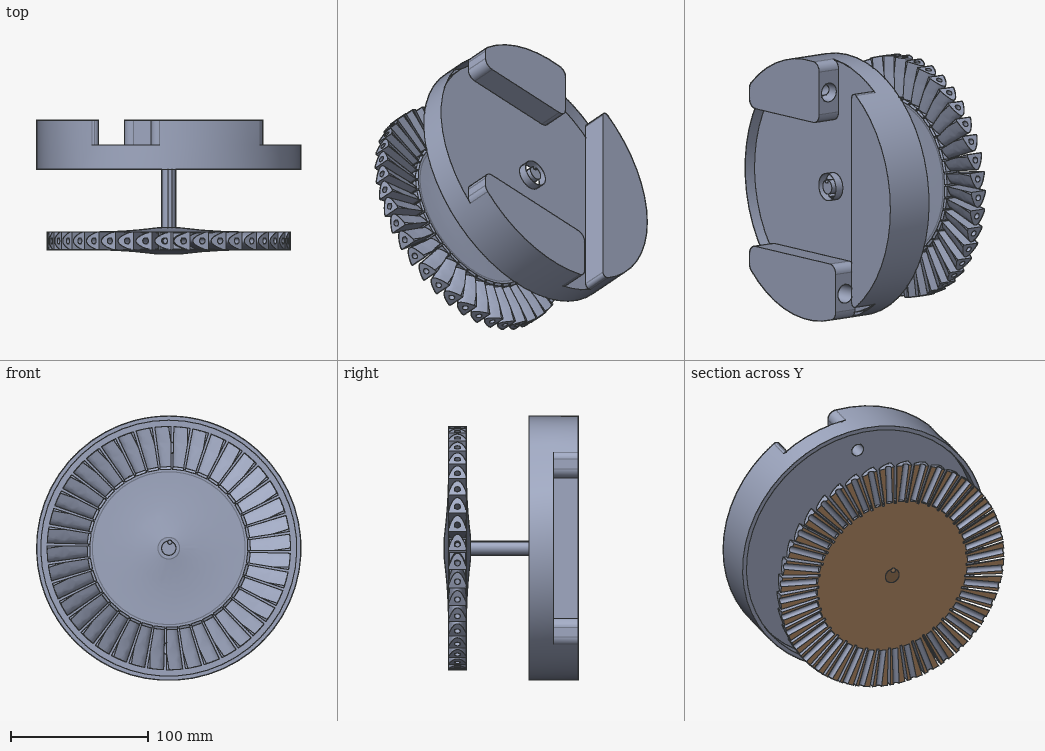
import cadquery as cq
import math


housing_radius = 95.9
housing_depth = 35.9
rim_wall = 3.0
recess_depth = 11.5
lug_height = housing_depth / 2
lug_corner_radius = 6.7
side_lug_corner_radius = 3.0
lug_inner_offset = 50.8
side_lug_half_height = 78.6
upper_lug_left = -13.0
lower_lug_left = -32.2
lug_right = 68.3
shaft_opening_radius = 10.0
nozzle_radius = 4.6
nozzle_offset = 72.9
port_radius = 6.9

housing_gap = 42.2
rim_thickness = 13.0
hub_crown = 3.0
hub_thickness = rim_thickness + 2 * hub_crown
hub_flat_radius = 7.9
crown_radius = 55.5
rim_radius = 58.3
rotor_center_y = -housing_gap - hub_thickness / 2

blade_count = 40
first_blade_angle = -2.0
foot_radius = 57.1
root_radius = 59.0
tip_radius = 88.2
root_half_thickness = 5.8
tip_half_thickness = 7.0
root_flat_side = 3.6
tip_flat_side = 4.8
root_nose = -4.2
tip_nose = -7.0
blade_hole_radius = 2.1
blade_hole_depth = 28.8

shaft_radius = 5.2
key_radius = 1.5
key_offset = 4.5
key_angle = 10.0


def cylinder_y(radius, y_start, y_end, x=0.0, z=0.0):
    """Cylinder parallel to Y between two Y positions."""
    return cq.Workplane(cq.Solid.makeCylinder(
        radius, y_end - y_start, cq.Vector(x, y_start, z), cq.Vector(0, 1, 0)))


def lug(x_min, x_max, z_min, z_max, corner_radius):
    """Block on the back of the disc, bounded by the disc's outline."""
    y_base = housing_depth - lug_height
    block = cq.Workplane("XY").box(x_max - x_min, lug_height, z_max - z_min, centered=False)
    block = block.translate((x_min, y_base, z_min))
    block = block.intersect(cylinder_y(housing_radius, y_base, housing_depth))
    return block.edges("|Y").fillet(corner_radius)


def air_passage(port_start, z):
    """Port along X from a lug's left face to X = 0, and the nozzle that joins it to the recess."""
    port_y = housing_depth - lug_height / 2
    port = cq.Workplane("YZ", origin=(port_start, port_y, z)).circle(port_radius).extrude(-port_start)
    return port.union(cylinder_y(nozzle_radius, 0, port_y, 0, z))


def make_housing():
    reach = housing_radius
    disc = cylinder_y(housing_radius, 0, housing_depth - lug_height)
    disc = disc.cut(cylinder_y(housing_radius - rim_wall, 0, recess_depth))
    side_lug = lug(
        -reach, -lug_inner_offset, -side_lug_half_height, side_lug_half_height, side_lug_corner_radius)
    upper_lug = lug(upper_lug_left, lug_right, lug_inner_offset, reach, lug_corner_radius)
    lower_lug = lug(lower_lug_left, lug_right, -reach, -lug_inner_offset, lug_corner_radius)
    body = disc.union(side_lug).union(upper_lug).union(lower_lug)
    body = body.cut(cylinder_y(shaft_opening_radius, 0, housing_depth))
    body = body.cut(air_passage(upper_lug_left, nozzle_offset))
    return body.cut(air_passage(lower_lug_left, -nozzle_offset))


def blade_section(radius, flat_side, nose, half_thickness):
    """Section normal to the blade axis (+Z): flat on the +X side, parabolic nose on the -X side."""
    control_point = (2 * nose - flat_side, 0)
    return (
        cq.Workplane("XY", origin=(0, 0, radius))
        .moveTo(flat_side, half_thickness)
        .bezier([control_point, (flat_side, -half_thickness)], includeCurrent=True)
        .close()
        .wire()
        .val()
    )


def blade_width_block(profile):
    """Prism as wide as a blade root, from a closed profile of (Y, Z) points."""
    prism = cq.Workplane("YZ", origin=(root_nose, 0, 0)).polyline(profile).close()
    return prism.extrude(root_flat_side - root_nose)


def make_blade():
    """One blade along +Z with its tapered foot and its radial bore."""
    half_rim = rim_thickness / 2
    root = blade_section(root_radius, root_flat_side, root_nose, root_half_thickness)
    tip = blade_section(tip_radius, tip_flat_side, tip_nose, tip_half_thickness)
    airfoil = cq.Workplane(cq.Solid.makeLoft([root, tip], True))
    airfoil = airfoil.intersect(cylinder_y(tip_radius, -half_rim, half_rim))

    foot = blade_width_block([
        (-half_rim, foot_radius),
        (-root_half_thickness, root_radius),
        (root_half_thickness, root_radius),
        (half_rim, foot_radius),
    ])
    bore_floor = tip_radius - blade_hole_depth
    bore = cq.Workplane("XY", origin=(0, 0, bore_floor)).circle(blade_hole_radius)
    return airfoil.union(foot).cut(bore.extrude(blade_hole_depth))


def make_notch():
    """Cutter for the seat of one blade foot in the hub rim."""
    return blade_width_block([
        (-rim_thickness, foot_radius),
        (-rim_thickness, root_radius),
        (rim_thickness, root_radius),
        (rim_thickness, foot_radius),
    ])


def around_hub(item):
    """Copies of a shape at every blade position."""
    pitch = 360 / blade_count
    return [
        item.rotate((0, 0, 0), (0, 1, 0), first_blade_angle + i * pitch).val()
        for i in range(blade_count)
    ]


def make_hub():
    """Disc with a concave crown on each side, tangent to the flat of the rim."""
    half_rim = rim_thickness / 2
    half_hub = hub_thickness / 2
    crown_span = crown_radius - hub_flat_radius
    arc_radius = (crown_span**2 + hub_crown**2) / (2 * hub_crown)
    middle_r = (crown_radius + hub_flat_radius) / 2
    middle_y = half_rim + arc_radius - math.sqrt(arc_radius**2 - (crown_span / 2) ** 2)
    return (
        cq.Workplane("XY")
        .moveTo(0, -half_hub)
        .lineTo(hub_flat_radius, -half_hub)
        .threePointArc((middle_r, -middle_y), (crown_radius, -half_rim))
        .lineTo(rim_radius, -half_rim)
        .lineTo(rim_radius, half_rim)
        .lineTo(crown_radius, half_rim)
        .threePointArc((middle_r, middle_y), (hub_flat_radius, half_hub))
        .lineTo(0, half_hub)
        .close()
        .revolve(360, (0, 0, 0), (0, 1, 0))
    )


def make_rotor():
    notched_hub = make_hub().val().cut(*around_hub(make_notch()))
    solid = cq.Workplane(notched_hub.fuse(*around_hub(make_blade())))
    return solid.translate((0, rotor_center_y, 0))


hub_front = rotor_center_y - hub_thickness / 2
hub_back = -housing_gap
key_x = key_offset * math.sin(math.radians(key_angle))
key_z = key_offset * math.cos(math.radians(key_angle))

shaft_end = housing_depth - lug_height
shaft_blank = cylinder_y(shaft_radius, hub_front, shaft_end)
key_channel = cylinder_y(key_radius, hub_front, shaft_end, key_x, key_z)

housing = make_housing()
shaft = shaft_blank.cut(key_channel)
key = cylinder_y(key_radius, hub_front, hub_back, key_x, key_z)
rotor = make_rotor().cut(shaft_blank).cut(key)

result = cq.Compound.makeCompound([housing.val(), rotor.val(), shaft.val(), key.val()])